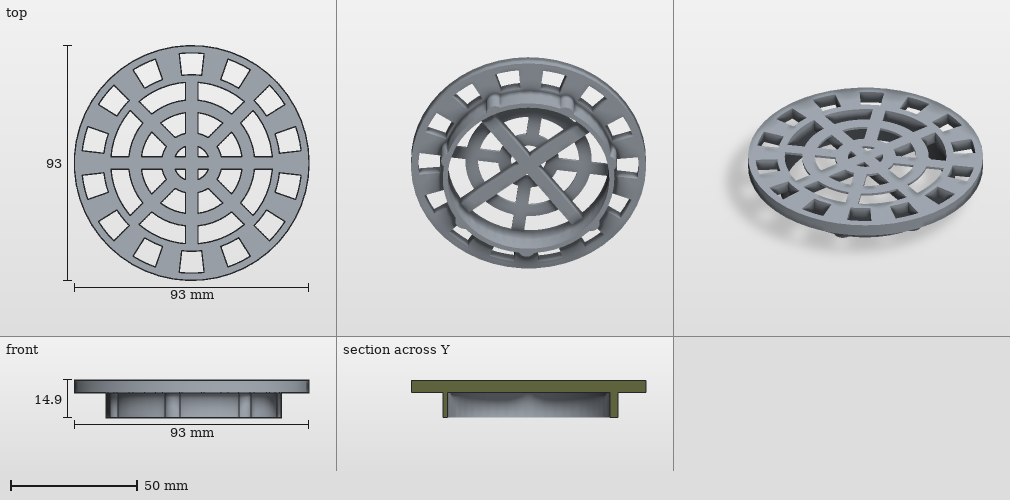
import cadquery as cq
import math

plate_radius = 46.5
plate_thickness = 5.0
collar_height = 9.95
bore_radius = 32.0
collar_wall = 1.95
lobe_count = 7
lobe_radius = 3.5

spoke_width = 5.0
thin_thickness = 1.0
inner_ring_radii = (7.0, 12.0)
middle_ring_radii = (20.0, 25.0)
spoke_overlap = 0.5 * collar_wall

window_count = 14
window_inner_radius = 35.0
window_outer_radius = 43.5
window_pitch = 360 / window_count
window_angle = window_pitch / 2

total_height = collar_height + plate_thickness
thin_bottom = total_height - thin_thickness


def disc(radius, bottom, top):
    return cq.Workplane("XY").workplane(offset=bottom).circle(radius).extrude(top - bottom)


def ring(inner_radius, outer_radius, bottom, top):
    return disc(outer_radius, bottom, top).cut(disc(inner_radius, bottom, top))


def point_at(radius, angle):
    radians = math.radians(angle)
    return (radius * math.cos(radians), radius * math.sin(radians))


def spoke(start, end, angle, bottom):
    """Bar flush with the top face, running outward between two radii."""
    height = total_height - bottom
    bar = cq.Workplane("XY").box(end - start, spoke_width, height, centered=(False, True, False))
    return bar.translate((start, 0, bottom)).rotate((0, 0, 0), (0, 0, 1), angle)


def rim_window(angle):
    """Cutter with radial sides and concentric ends, centred on the given angle."""
    first = angle - window_angle / 2
    last = angle + window_angle / 2
    return (
        cq.Workplane("XY")
        .workplane(offset=collar_height)
        .moveTo(*point_at(window_inner_radius, first))
        .lineTo(*point_at(window_outer_radius, first))
        .threePointArc(point_at(window_outer_radius, angle), point_at(window_outer_radius, last))
        .lineTo(*point_at(window_inner_radius, last))
        .threePointArc(point_at(window_inner_radius, angle), point_at(window_inner_radius, first))
        .close()
        .extrude(plate_thickness)
    )


body = disc(plate_radius, collar_height, total_height)
body = body.union(disc(bore_radius + collar_wall, 0, collar_height))
for index in range(lobe_count):
    x, y = point_at(bore_radius, index * 360 / lobe_count)
    body = body.union(disc(lobe_radius, 0, collar_height).translate((x, y, 0)))
body = body.cut(disc(bore_radius, 0, total_height))

for index in range(window_count):
    body = body.cut(rim_window(90 + index * window_pitch))

spoke_end = bore_radius + spoke_overlap
for inner_radius, outer_radius in (inner_ring_radii, middle_ring_radii):
    body = body.union(ring(inner_radius, outer_radius, thin_bottom, total_height))
diagonal_start = sum(inner_ring_radii) / 2
for quarter in range(4):
    body = body.union(spoke(0, spoke_end, 90 * quarter, collar_height))
    body = body.union(spoke(diagonal_start, spoke_end, 45 + 90 * quarter, thin_bottom))

result = body